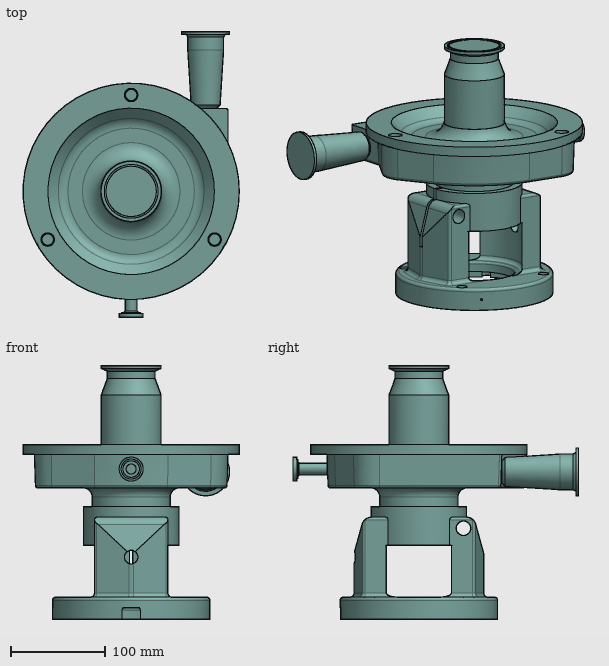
import cadquery as cq
import math

total_height = 270.0

base_radius = 83.75
base_height = 23.7
base_edge_fillet = 3.3
base_bore_radius = 43.0
base_bore_fillet = 2.5
recess_radius = 71.7
recess_height = 12.8
recess_fillet = 3.3
notch_width = 19.5
notch_corner_radius = 3.0
base_hole_diameter = 11.0
base_hole_circle_radius = 74.8
pin_hole_diameter = 1.8
pin_hole_depth = 6.0
pin_hole_y = 41.3
pin_hole_z = 12.0

leg_half_width = 39.05
leg_top = 108.8
leg_inner_radius = 52.15
leg_root_y = 30.5
leg_corner_y = 59.5
leg_ridge_y = 69.0
ridge_half_width = 2.28
slope_start_z = 70.2
slope_angle = 15.3
leg_top_fillet = 10.5
leg_edge_fillet = 3.0
leg_foot_fillet = 4.5
leg_hole_diameter = 14.3
leg_hole_z = 66.3
clamp_slit_width = 3.3
clamp_hole_diameter = 15.2
clamp_hole_y = 47.5
clamp_hole_z = 97.0

collar_radius = 50.92
collar_bottom = 78.7
collar_top = 120.0
neck_radius = 41.5
neck_flare_radius = 9.7

housing_bottom = 139.8
housing_front_radius = 98.0
housing_corner_radius = 30.0
housing_corner_distance = 84.2
housing_draft = 2.0
housing_edge_fillet = 2.7
outlet_block_y = 88.2
outlet_block_fillet = 2.5

flange_radius = 115.05
flange_bottom = 175.55
flange_top = 185.7
bowl_top_radius = 88.5
bowl_cone_depth = 11.0
bowl_floor_depth = 15.2
bowl_floor_outer_radius = 67.2
bowl_floor_inner_radius = 51.83
bowl_flare_radius = 20.0
bowl_flare_top_radius = 32.38
bolt_hole_diameter = 14.3
bolt_hole_circle_radius = 102.5
bolt_hole_depth = 24.3
bolt_pilot_diameter = 12.2
bolt_pilot_depth = 30.5

inlet_radius = 32.0
inlet_neck_radius = 25.5
inlet_shoulder_z = 238.5
inlet_neck_z = 256.0
rim_thickness = 3.0
rim_cone_height = 3.0
inlet_groove_inner = 26.8
inlet_groove_outer = 28.5

outlet_x = 79.2
outlet_z = 157.0
outlet_end_y = 170.0
outlet_rim_radius = 25.5
outlet_rim_foot_radius = 20.7
outlet_pipe_radius = 19.0
outlet_taper_start_y = 150.2
outlet_taper_end_y = 91.8
outlet_taper_end_radius = 15.5
outlet_tip_radius = 12.0
outlet_block_overlap = 3.0

nozzle_end_y = -134.0
nozzle_z = 160.0
nozzle_radius = 6.5
nozzle_bore_radius = 5.32
nozzle_rim_radius = 12.8
nozzle_rim_thickness = 4.3
nozzle_collar_radius = 10.0
nozzle_collar_length = 1.2
nozzle_cone_radius = 8.0
nozzle_cone_length = 1.2
nozzle_wall_overlap = 6.0
nozzle_groove_inner = 8.8
nozzle_groove_outer = 10.5
groove_depth = 1.2


def disc(radius, bottom, top):
    """Solid cylinder on the main axis."""
    return cq.Workplane("XY").workplane(offset=bottom).circle(radius).extrude(top - bottom)


def face_groove(inner, outer):
    """Shallow ring starting at Z = 0 and running to -groove_depth."""
    return cq.Workplane("XY").circle(outer).circle(inner).extrude(-groove_depth)


def polar(distance, angle):
    """Point at a distance and an angle in degrees from the origin."""
    return (distance * math.cos(math.radians(angle)), distance * math.sin(math.radians(angle)))


def make_base():
    ring = disc(base_radius, 0, base_height).faces(">Z").edges().fillet(base_edge_fillet)
    ring = ring.cut(disc(base_bore_radius, 0, base_height))
    ring = ring.faces(">Z").edges(cq.selectors.RadiusNthSelector(0)).fillet(base_bore_fillet)
    ring = ring.cut(disc(recess_radius, 0, recess_height).faces(">Z").edges().fillet(recess_fillet))
    notch = (
        cq.Workplane("XY")
        .box(notch_width, base_radius, recess_height, centered=(True, False, False))
        .edges("|Y and >Z")
        .fillet(notch_corner_radius)
        .translate((0, -base_radius, 0))
    )
    pin_hole = (
        cq.Workplane("YZ", origin=(-base_radius, 0, 0))
        .center(pin_hole_y, pin_hole_z)
        .circle(pin_hole_diameter / 2)
        .extrude(base_radius - math.sqrt(base_radius**2 - pin_hole_y**2) + pin_hole_depth)
    )
    return ring.cut(notch).cut(pin_hole)


def make_leg():
    """Leg on the +Y side: a plan with a central ridge, rounded by a side and a front outline."""
    plan = (
        cq.Workplane("XY", origin=(0, 0, base_height))
        .polyline([
            (-leg_half_width, leg_root_y),
            (leg_half_width, leg_root_y),
            (leg_half_width, leg_corner_y),
            (ridge_half_width, leg_ridge_y),
            (-ridge_half_width, leg_ridge_y),
            (-leg_half_width, leg_corner_y),
        ])
        .close()
        .extrude(leg_top - base_height)
    )
    for end in ("<X", ">X"):
        plan = plan.faces(end).edges("|Z and >Y").fillet(leg_edge_fillet)
    slope_run = (leg_top - slope_start_z) * math.tan(math.radians(slope_angle))
    side = (
        cq.Workplane("YZ", origin=(-leg_half_width, 0, 0))
        .polyline([
            (leg_root_y, base_height),
            (leg_ridge_y, base_height),
            (leg_ridge_y, slope_start_z),
            (leg_ridge_y - slope_run, leg_top),
            (leg_root_y, leg_top),
        ])
        .close()
        .extrude(2 * leg_half_width)
        .faces(">Z")
        .edges(">Y")
        .fillet(leg_top_fillet)
    )
    front = (
        cq.Workplane("XY", origin=(0, 0, base_height))
        .box(2 * leg_half_width, leg_ridge_y, leg_top - base_height, centered=(True, False, False))
        .edges("|Y and >Z")
        .fillet(leg_edge_fillet)
    )
    leg = plan.intersect(side).intersect(front)
    return leg.cut(disc(leg_inner_radius, base_height, collar_bottom))


def make_stand():
    """Base ring with both legs, rounded where the legs stand on it."""
    back_leg = make_leg()
    stand = make_base().union(back_leg).union(back_leg.mirror("XZ"))
    foot_edges = stand.edges().filter(
        lambda edge: abs(edge.Center().z - base_height) < 0.03 and not edge.IsClosed()
    )
    holes = (
        cq.Workplane("XY")
        .polarArray(base_hole_circle_radius, 45, 360, 4)
        .circle(base_hole_diameter / 2)
        .extrude(base_height)
    )
    return foot_edges.fillet(leg_foot_fillet).cut(holes)


def cut_leg_openings(body):
    """Round hole in the front leg; clamp slit and cross hole in the back leg."""
    front_hole = (
        cq.Workplane("XZ")
        .center(0, leg_hole_z)
        .circle(leg_hole_diameter / 2)
        .extrude(base_radius)
    )
    slit_bottom = leg_hole_z - leg_hole_diameter / 2
    slit = cq.Workplane("XY", origin=(0, neck_radius, slit_bottom)).box(
        clamp_slit_width, base_radius, collar_top - slit_bottom, centered=(True, False, False)
    )
    cross_hole = (
        cq.Workplane("YZ")
        .center(clamp_hole_y, clamp_hole_z)
        .circle(clamp_hole_diameter / 2)
        .extrude(base_radius, both=True)
    )
    return body.cut(front_hole).cut(slit).cut(cross_hole)


def make_neck():
    neck = (
        cq.Workplane("XZ")
        .moveTo(0, collar_top)
        .lineTo(neck_radius, collar_top)
        .lineTo(neck_radius, housing_bottom - neck_flare_radius)
        .radiusArc((neck_radius + neck_flare_radius, housing_bottom), neck_flare_radius)
        .lineTo(0, housing_bottom)
        .close()
        .revolve(360, (0, 0, 0), (0, 1, 0))
    )
    return neck.union(disc(collar_radius, collar_bottom, collar_top))


def make_housing():
    """Drafted body whose rounded corners at 90, 210 and 330 degrees carry the bolts."""
    front_flat_angle = math.degrees(
        math.acos((housing_front_radius - housing_corner_radius) / housing_corner_distance)
    )
    side_flat_angle = 30
    side_radius = (
        housing_corner_distance * math.cos(math.radians(side_flat_angle)) + housing_corner_radius
    )

    def corner_point(corner, normal):
        center = polar(housing_corner_distance, corner)
        reach = polar(housing_corner_radius, normal)
        return (center[0] + reach[0], center[1] + reach[1])

    block_flat_normal = polar(1, 90 - side_flat_angle)
    block_start_x = (side_radius - outlet_block_y * block_flat_normal[1]) / block_flat_normal[0]

    front_left = 210 + front_flat_angle
    front_right = 330 - front_flat_angle
    outline = (
        cq.Workplane("XY", origin=(0, 0, flange_bottom))
        .moveTo(*corner_point(90, 90 - side_flat_angle))
        .threePointArc(corner_point(90, 90), corner_point(90, 90 + side_flat_angle))
        .lineTo(*polar(side_radius, 90 + side_flat_angle))
        .threePointArc(polar(side_radius, 150), polar(side_radius, 180))
        .lineTo(*corner_point(210, 180))
        .threePointArc(corner_point(210, 210), corner_point(210, front_left))
        .lineTo(*polar(housing_front_radius, front_left))
        .threePointArc(
            polar(housing_front_radius, 270), polar(housing_front_radius, front_right)
        )
        .lineTo(*corner_point(330, front_right))
        .threePointArc(corner_point(330, 330), corner_point(330, 360))
        .lineTo(side_radius, outlet_block_y)
        .lineTo(block_start_x, outlet_block_y)
        .close()
    )
    housing = outline.extrude(housing_bottom - flange_bottom, taper=housing_draft)
    block_corner = cq.selectors.NearestToPointSelector(
        (side_radius, outlet_block_y, (housing_bottom + flange_bottom) / 2)
    )
    housing = housing.edges(block_corner).fillet(outlet_block_fillet)
    return housing.faces("<Z").edges().fillet(housing_edge_fillet)


def make_bowl():
    """Ring-shaped space dished into the flange around the inlet pipe."""
    floor_z = flange_top - bowl_floor_depth
    cone_foot_radius = bowl_top_radius - bowl_cone_depth
    cone_foot_z = flange_top - bowl_cone_depth
    bend_radius = (cone_foot_radius - bowl_floor_outer_radius) / math.sin(math.radians(45))
    return (
        cq.Workplane("XZ")
        .moveTo(bowl_flare_top_radius, flange_top)
        .lineTo(bowl_top_radius, flange_top)
        .lineTo(cone_foot_radius, cone_foot_z)
        .radiusArc((bowl_floor_outer_radius, floor_z), bend_radius)
        .lineTo(bowl_floor_inner_radius, floor_z)
        .radiusArc((bowl_flare_top_radius, flange_top), bowl_flare_radius)
        .close()
        .revolve(360, (0, 0, 0), (0, 1, 0))
    )


def make_inlet():
    """Closed pipe on the main axis with a grooved rim."""
    pipe = (
        cq.Workplane("XZ")
        .moveTo(0, flange_bottom)
        .lineTo(inlet_radius, flange_bottom)
        .lineTo(inlet_radius, inlet_shoulder_z)
        .lineTo(inlet_neck_radius, inlet_neck_z)
        .lineTo(inlet_neck_radius, total_height - rim_thickness - rim_cone_height)
        .lineTo(inlet_radius, total_height - rim_thickness)
        .lineTo(inlet_radius, total_height)
        .lineTo(0, total_height)
        .close()
        .revolve(360, (0, 0, 0), (0, 1, 0))
    )
    groove = face_groove(inlet_groove_inner, inlet_groove_outer)
    return pipe.cut(groove.translate((0, 0, total_height)))


def cut_bolt_holes(body):
    """Blind holes from the flange top, each with a deeper pilot."""
    steps = ((bolt_hole_diameter, bolt_hole_depth), (bolt_pilot_diameter, bolt_pilot_depth))
    for diameter, depth in steps:
        holes = (
            cq.Workplane("XY", origin=(0, 0, flange_top))
            .polarArray(bolt_hole_circle_radius, 90, 360, 3)
            .circle(diameter / 2)
            .extrude(-depth)
        )
        body = body.cut(holes)
    return body


def make_outlet():
    rim_back_y = outlet_end_y - rim_thickness
    outlet = (
        cq.Workplane("XY")
        .moveTo(0, outlet_block_y - outlet_block_overlap)
        .lineTo(outlet_tip_radius, outlet_block_y - outlet_block_overlap)
        .lineTo(outlet_tip_radius, outlet_block_y)
        .lineTo(outlet_taper_end_radius, outlet_taper_end_y)
        .lineTo(outlet_pipe_radius, outlet_taper_start_y)
        .lineTo(outlet_pipe_radius, rim_back_y - rim_cone_height)
        .lineTo(outlet_rim_foot_radius, rim_back_y)
        .lineTo(outlet_rim_radius, rim_back_y)
        .lineTo(outlet_rim_radius, outlet_end_y)
        .lineTo(0, outlet_end_y)
        .close()
        .revolve(360, (0, 0, 0), (0, 1, 0))
    )
    return outlet.translate((outlet_x, 0, outlet_z))


def add_nozzle(body):
    """Small pipe with a grooved rim; its bore stops at the housing wall."""
    bore_depth = -nozzle_end_y - housing_front_radius
    collar_back = -nozzle_rim_thickness - nozzle_collar_length
    pipe_end = -bore_depth - nozzle_wall_overlap
    nozzle = (
        cq.Workplane("XZ")
        .lineTo(nozzle_rim_radius, 0)
        .lineTo(nozzle_rim_radius, -nozzle_rim_thickness)
        .lineTo(nozzle_collar_radius, -nozzle_rim_thickness)
        .lineTo(nozzle_collar_radius, collar_back)
        .lineTo(nozzle_cone_radius, collar_back)
        .lineTo(nozzle_radius, collar_back - nozzle_cone_length)
        .lineTo(nozzle_radius, pipe_end)
        .lineTo(0, pipe_end)
        .close()
        .revolve(360, (0, 0, 0), (0, 1, 0))
        .cut(face_groove(nozzle_groove_inner, nozzle_groove_outer))
    )
    bore = cq.Workplane("XY").circle(nozzle_bore_radius).extrude(-bore_depth)

    def place(shape):
        return shape.rotate((0, 0, 0), (1, 0, 0), 90).translate((0, nozzle_end_y, nozzle_z))

    return body.union(place(nozzle)).cut(place(bore))


result = make_stand().union(make_neck())
result = cut_leg_openings(result)
result = result.union(make_housing()).union(disc(flange_radius, flange_bottom, flange_top))
result = result.cut(make_bowl()).union(make_inlet()).union(make_outlet())
result = cut_bolt_holes(result)
result = add_nozzle(result)